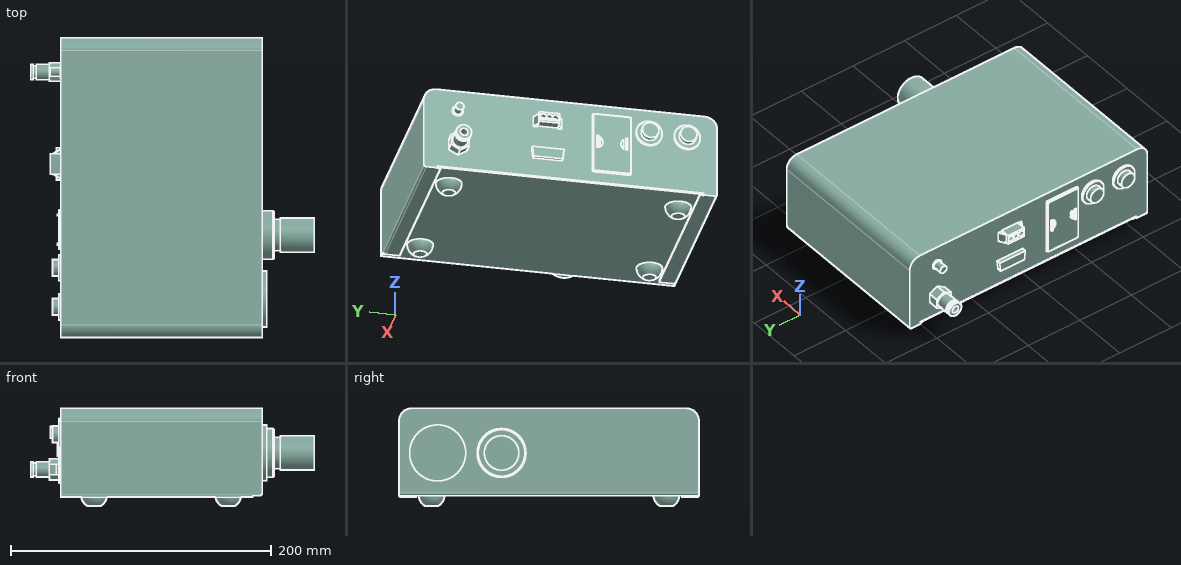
import cadquery as cq
import math

BODY_LENGTH = 154.8
BODY_WIDTH = 230.5
BODY_HEIGHT = 68.2
TOP_EDGE_RADIUS = 10.0

FLANGE_DEPTH = 1.0
FLANGE_WIDTH = 13.4
FLANGE_LENGTH = 147.5
FLANGE_EDGE_RADIUS = 1.5
FRONT_EDGE_RADIUS = 2.3
REAR_NOTCH_HALF_WIDTH = 104.5
REAR_NOTCH_HEIGHT = 1.5
REAR_NOTCH_DEPTH = 1.0

FOOT_DIAMETER = 20.3
FOOT_DROP = 7.0
FOOT_CENTER_Z = 1.8
FOOT_X = (25.5, 128.5)
FOOT_Y = 90.0

FRONT_FEATURE_Z = 33.9
GAUGE_Y = -85.5
GAUGE_DIAMETER = 43.0
GAUGE_REACH = 3.5
KNOB_Y = -36.5
COLLAR_DIAMETER = 37.5
COLLAR_REACH = 9.0
COLLAR_CHAMFER = 1.0
NECK_DIAMETER = 24.5
NECK_REACH = 13.8
KNOB_DIAMETER = 26.5
KNOB_REACH = 39.9

FITTING_Y = 88.7
FITTING_Z = 21.2
HEX_ACROSS_FLATS = 14.3
HEX_REACH = 8.8
SLEEVE_DIAMETER = 12.0
SLEEVE_REACH = 19.0
GROOVE_DIAMETER = 10.0
GROOVE_REACH = 21.2
FITTING_REACH = 23.0
BORE_DIAMETER = 6.0
BORE_DEPTH = 13.8

PIN_Z = 51.1
PIN_DIAMETER = 6.5
PIN_REACH = 8.0
PIN_RING_DIAMETER = 8.5
PIN_RING_REACH = 0.5

BUTTON_Y = (-61.5, -91.5)
BUTTON_Z = 48.2
BUTTON_FLANGE_DIAMETER = 20.3
BUTTON_FLANGE_REACH = 1.5
BUTTON_DIAMETER = 13.0
BUTTON_REACH = 6.5

CONNECTOR_Y = 18.2
CONNECTOR_Z = 49.3
CONNECTOR_HEIGHT = 8.3
CONNECTOR_WIDTH = 16.0
CONNECTOR_REACH = 8.0
SHOULDER_REACH = 6.0
SHOULDER_BASE_WIDTH = 22.5
SHOULDER_DROP = 0.7
SOCKET_COUNT = 3
SOCKET_PITCH = 4.8
SOCKET_DIAMETER = 5.0
SOCKET_DEPTH = 5.8

DATA_Z = 21.2
DATA_HEIGHT = 8.3
DATA_TOP_WIDTH = 24.9
DATA_BOTTOM_WIDTH = 23.0
DATA_REACH = 3.5

DOOR_Y = -32.3
DOOR_Z = 35.5
DOOR_WIDTH = 30.5
DOOR_HEIGHT = 50.0
DOOR_REACH = 1.5
DOOR_CORNER_RADIUS = 1.5
DOOR_EDGE_CHAMFER = 0.7
GRIP_Z = 36.2
GRIP_SPACING = 22.5
RIDGE_WIDTH = 1.4
RIDGE_HEIGHT = 9.7
RIDGE_REACH = 2.8
SCOOP_GAP = 1.4
SCOOP_WIDTH = 2.0
SCOOP_HEIGHT = 7.8
SCOOP_DEPTH = 1.0


def front_disc(y, diameter, start, end):
    """Cylinder ahead of the front panel, between two distances from it."""
    plane = cq.Workplane("YZ", origin=(BODY_LENGTH + start, y, FRONT_FEATURE_Z))
    return plane.circle(diameter / 2).extrude(end - start)


def rear_plane(y, z, distance=0.0):
    """Plane at a distance behind the rear panel, normal along +X, local axes along Y and Z."""
    return cq.Workplane("YZ", origin=(-distance, y, z))


def rear_disc(y, z, diameter, start, end):
    """Cylinder behind the rear panel, between two distances from it."""
    return rear_plane(y, z, end).circle(diameter / 2).extrude(end - start)


def make_body():
    """Housing block with rounded upper edges and two flat flanges under its long sides."""
    housing = (
        cq.Workplane("XY")
        .box(BODY_LENGTH, BODY_WIDTH, BODY_HEIGHT, centered=(False, True, False))
        .edges("|X and >Z").fillet(TOP_EDGE_RADIUS)
        .edges("|X and <Z").fillet(FLANGE_EDGE_RADIUS)
    )
    middle_recess = cq.Workplane("XY").box(
        BODY_LENGTH, BODY_WIDTH - 2 * FLANGE_WIDTH, FLANGE_DEPTH, centered=(False, True, False)
    )
    front_recess = cq.Workplane("XY", origin=(FLANGE_LENGTH, 0, 0)).box(
        BODY_LENGTH - FLANGE_LENGTH, BODY_WIDTH, FLANGE_DEPTH, centered=(False, True, False)
    )
    body = housing.cut(middle_recess).cut(front_recess)
    rear_notch = cq.Workplane("XY").box(
        REAR_NOTCH_DEPTH, 2 * REAR_NOTCH_HALF_WIDTH, REAR_NOTCH_HEIGHT, centered=(False, True, False)
    )
    return body.cut(rear_notch).cut(make_front_edge_waste())


def make_front_edge_waste():
    """Material outside the rounded lower front edge."""
    corner = cq.Workplane("XZ", origin=(BODY_LENGTH, BODY_WIDTH / 2, FLANGE_DEPTH))
    bend = FRONT_EDGE_RADIUS
    return (
        corner.moveTo(0, 0).lineTo(0, bend).radiusArc((-bend, 0), bend).close().extrude(BODY_WIDTH)
    )


def make_foot(x, y):
    """Lower part of a ball, cut flat at the bottom and seated in the underside plate."""
    ball = cq.Workplane("XY", origin=(x, y, FOOT_CENTER_Z)).sphere(FOOT_DIAMETER / 2)
    slab = cq.Workplane("XY", origin=(x, y, -FOOT_DROP)).box(
        FOOT_DIAMETER, FOOT_DIAMETER, FOOT_DROP + FLANGE_DEPTH, centered=(True, True, False)
    )
    return ball.intersect(slab)


def make_regulator():
    """Collar, neck and turning knob on the front panel."""
    collar = front_disc(KNOB_Y, COLLAR_DIAMETER, 0, COLLAR_REACH)
    collar = collar.faces(">X").edges().chamfer(COLLAR_CHAMFER)
    neck = front_disc(KNOB_Y, NECK_DIAMETER, COLLAR_REACH, NECK_REACH)
    knob = front_disc(KNOB_Y, KNOB_DIAMETER, NECK_REACH, KNOB_REACH)
    return collar.union(neck).union(knob)


def make_fitting():
    """Push-in hose fitting: hexagon with corners up and down, grooved sleeve and blind bore."""
    across_corners = HEX_ACROSS_FLATS / math.cos(math.pi / 6)
    hexagon = (
        rear_plane(FITTING_Y, FITTING_Z, HEX_REACH)
        .transformed(rotate=(0, 0, 90))
        .polygon(6, across_corners)
        .extrude(HEX_REACH)
    )
    sleeve = rear_disc(FITTING_Y, FITTING_Z, SLEEVE_DIAMETER, HEX_REACH, SLEEVE_REACH)
    groove = rear_disc(FITTING_Y, FITTING_Z, GROOVE_DIAMETER, SLEEVE_REACH, GROOVE_REACH)
    end_ring = rear_disc(FITTING_Y, FITTING_Z, SLEEVE_DIAMETER, GROOVE_REACH, FITTING_REACH)
    bore = rear_disc(FITTING_Y, FITTING_Z, BORE_DIAMETER, FITTING_REACH - BORE_DEPTH, FITTING_REACH)
    return hexagon.union(sleeve).union(groove).union(end_ring).cut(bore)


def make_pin():
    """Slim pin standing on a thin ring."""
    ring = rear_disc(FITTING_Y, PIN_Z, PIN_RING_DIAMETER, 0, PIN_RING_REACH)
    return ring.union(rear_disc(FITTING_Y, PIN_Z, PIN_DIAMETER, 0, PIN_REACH))


def make_button(y):
    flange = rear_disc(y, BUTTON_Z, BUTTON_FLANGE_DIAMETER, 0, BUTTON_FLANGE_REACH)
    return flange.union(rear_disc(y, BUTTON_Z, BUTTON_DIAMETER, 0, BUTTON_REACH))


def make_power_connector():
    """Block with slightly lower sloping shoulders and a row of overlapping round sockets."""
    block = rear_plane(CONNECTOR_Y, CONNECTOR_Z, CONNECTOR_REACH)
    block = block.rect(CONNECTOR_WIDTH, CONNECTOR_HEIGHT).extrude(CONNECTOR_REACH)
    half_width = CONNECTOR_WIDTH / 2
    half_base = SHOULDER_BASE_WIDTH / 2
    shoulder_bottom = CONNECTOR_Z - CONNECTOR_HEIGHT / 2 - SHOULDER_DROP
    plan = cq.Workplane("XY", origin=(0, CONNECTOR_Y, shoulder_bottom))
    connector = block
    for side in (-1, 1):
        wedge = [
            (0, side * half_width),
            (-SHOULDER_REACH, side * half_width),
            (0, side * half_base),
        ]
        connector = connector.union(plan.polyline(wedge).close().extrude(CONNECTOR_HEIGHT))
    for index in range(SOCKET_COUNT):
        offset = (index - (SOCKET_COUNT - 1) / 2) * SOCKET_PITCH
        socket_floor = CONNECTOR_REACH - SOCKET_DEPTH
        socket = rear_disc(
            CONNECTOR_Y + offset, CONNECTOR_Z, SOCKET_DIAMETER, socket_floor, CONNECTOR_REACH
        )
        connector = connector.cut(socket)
    return connector


def make_data_connector():
    """Flat connector, slightly narrower at the bottom."""
    half_height = DATA_HEIGHT / 2
    outline = [
        (-DATA_TOP_WIDTH / 2, half_height),
        (DATA_TOP_WIDTH / 2, half_height),
        (DATA_BOTTOM_WIDTH / 2, -half_height),
        (-DATA_BOTTOM_WIDTH / 2, -half_height),
    ]
    plane = rear_plane(CONNECTOR_Y, DATA_Z, DATA_REACH)
    return plane.polyline(outline).close().extrude(DATA_REACH)


def make_door():
    """Raised door plate with a finger grip (ridge and scoop) near each side."""
    door = (
        rear_plane(DOOR_Y, DOOR_Z, DOOR_REACH)
        .rect(DOOR_WIDTH, DOOR_HEIGHT)
        .extrude(DOOR_REACH)
        .edges("|X").fillet(DOOR_CORNER_RADIUS)
        .faces("<X").edges().chamfer(DOOR_EDGE_CHAMFER)
    )
    for side in (-1, 1):
        grip_y = DOOR_Y + side * GRIP_SPACING / 2
        ridge = (
            rear_plane(grip_y, GRIP_Z, RIDGE_REACH)
            .rect(RIDGE_WIDTH, RIDGE_HEIGHT)
            .extrude(RIDGE_REACH)
        )
        chord_y = -side * (RIDGE_WIDTH / 2 + SCOOP_GAP)
        scoop = (
            rear_plane(grip_y, GRIP_Z, DOOR_REACH)
            .moveTo(chord_y, SCOOP_HEIGHT / 2)
            .threePointArc(
                (chord_y - side * SCOOP_WIDTH, 0),
                (chord_y, -SCOOP_HEIGHT / 2),
            )
            .close()
            .extrude(SCOOP_DEPTH)
        )
        door = door.cut(scoop).union(ridge)
    return door


result = make_body()
for foot_x in FOOT_X:
    for foot_y in (-FOOT_Y, FOOT_Y):
        result = result.union(make_foot(foot_x, foot_y))
result = result.union(front_disc(GAUGE_Y, GAUGE_DIAMETER, 0, GAUGE_REACH))
result = result.union(make_regulator())
result = result.union(make_fitting())
result = result.union(make_pin())
for button_y in BUTTON_Y:
    result = result.union(make_button(button_y))
result = result.union(make_power_connector())
result = result.union(make_data_connector())
result = result.union(make_door())